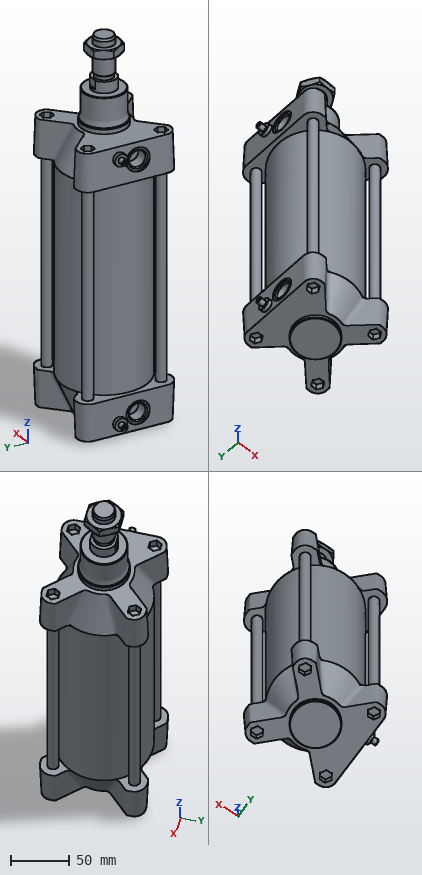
import cadquery as cq
import math

TOTAL_LENGTH = 368.0

COLLAR_DIAMETER = 45.0
REAR_COLLAR_HEIGHT = 4.0
COLLAR_CHAMFER = 0.7
COVER_HEIGHT = 36.8
COVER_SPAN = 95.0
NOTCH_ANGLES = (-90, 0, 90)
COVER_DRAFT = 2.0
TIE_ROD_SPACING = 72.0
ARM_HALF_WIDTH = 11.5
ARM_EDGE_RADIUS = 3.5
CONE_TOP_RADIUS = 26.5
CONE_FILLET = 4.8
FRONT_COVER_TOP = 282.5

BARREL_DIAMETER = 86.0
TIE_ROD_DIAMETER = 10.0
SOCKET_WIDTH = 10.3
SOCKET_DEPTH = 7.5

PORT_Y = -7.7
PORT_DEPTH_FROM_END = 17.0
PORT_DIAMETER = 16.0
PORT_MOUTH_DIAMETER = 18.5
PORT_DEPTH = 14.7
PORT_SPOT_DIAMETER = 23.0
PORT_SPOT_X = -46.0
SCREW_Y = 11.0
SCREW_DEPTH_FROM_END = 11.5
SCREW_DIAMETER = 6.0
SCREW_TIP_X = -56.5
SCREW_COLLAR_DIAMETER = 12.0
SCREW_COLLAR_X = -50.5
SCREW_ROOT_X = -42.5
SCREW_SLOT_WIDTH = 1.5
SCREW_SLOT_DEPTH = 0.7

GUIDE_DIAMETER = 41.0
GUIDE_TOP = 317.0
GUIDE_CHAMFER = 0.7
GUIDE_SLEEVE_BOTTOM = 293.5
GUIDE_CONE_TOP = 292.5
GUIDE_CONE_TOP_DIAMETER = 41.2
GUIDE_CONE_BOTTOM = 288.0
GUIDE_CONE_BOTTOM_DIAMETER = 43.5
FRONT_COLLAR_TOP = 287.0

ROD_DIAMETER = 24.5
ROD_SHOULDER = 328.0
ROD_FLAT_WIDTH = 22.5
ROD_FLAT_BOTTOM = 319.5
NECK_DIAMETER = 18.0
NECK_TOP = 331.2
THREAD_BOTTOM = 332.3
THREAD_DIAMETER = 20.0
THREAD_TIP_HEIGHT = 2.5

NUT_WIDTH = 30.0
NUT_THICKNESS = 9.0
NUT_BOTTOM = 351.0
NUT_CORNER_HEIGHT = 1.0

EDGE_TOLERANCE = 0.5

HALF_SPAN = COVER_SPAN / 2
CORNER_RADIUS = HALF_SPAN - TIE_ROD_SPACING / 2
BARREL_BOTTOM = REAR_COLLAR_HEIGHT + COVER_HEIGHT
BARREL_TOP = FRONT_COVER_TOP - COVER_HEIGHT
HEX_CORNER_RATIO = 2 / math.sqrt(3)


def lathe(profile):
    """Solid of revolution about Z from (radius, height) points, closed along the axis."""
    points = [(0, profile[0][1])] + profile + [(0, profile[-1][1])]
    return cq.Workplane("XZ").polyline(points).close().revolve(360, (0, 0), (0, 1))


def cylinder(diameter, bottom, top):
    """Cylinder on the Z axis between two heights."""
    return cq.Workplane("XY").workplane(offset=bottom).circle(diameter / 2).extrude(top - bottom)


def side_cylinder(diameter, y, z, x_start, x_end):
    """Cylinder along X between two X positions."""
    plane = cq.Plane(origin=(x_start, y, z), xDir=(0, 1, 0), normal=(1, 0, 0))
    return cq.Workplane(plane).circle(diameter / 2).extrude(x_end - x_start)


def cover_arms():
    """Drafted block with a notch in three sides; barrel face at Z = 0, outer face above."""
    apex = ARM_HALF_WIDTH * math.sqrt(2)
    arm_edge = HALF_SPAN - apex
    notch = (
        cq.Workplane("XY")
        .polyline([(apex, 0), (HALF_SPAN, arm_edge), (HALF_SPAN, -arm_edge)])
        .close()
        .extrude(COVER_HEIGHT)
    )
    block = cq.Workplane("XY").rect(COVER_SPAN, COVER_SPAN).extrude(COVER_HEIGHT)
    block = block.edges("|Z").fillet(CORNER_RADIUS)
    for angle in NOTCH_ANGLES:
        block = block.cut(notch.rotate((0, 0, 0), (0, 0, 1), angle))
    arm_edges = []
    for edge in block.edges("|Z").vals():
        middle = edge.Center()
        nearest_axis = min(abs(middle.x), abs(middle.y))
        if abs(nearest_axis - arm_edge) < EDGE_TOLERANCE:
            arm_edges.append(edge)
    block = cq.Workplane(block.val().fillet(ARM_EDGE_RADIUS, arm_edges))
    outline = block.faces("<Z").wires().vals()[0]
    return cq.Workplane("XY").add(outline).toPending().extrude(COVER_HEIGHT, taper=COVER_DRAFT)


def cover_blank():
    """Arms joined by a cone that spreads from the outer face to the barrel."""
    cone = lathe([(BARREL_DIAMETER / 2, 0), (CONE_TOP_RADIUS, COVER_HEIGHT)])
    blank = cover_arms().union(cone)
    valleys = []
    for edge in blank.edges().vals():
        middle = edge.Center()
        is_inside = math.hypot(middle.x, middle.y) < BARREL_DIAMETER / 2
        if edge.BoundingBox().zlen > COVER_HEIGHT / 2 and is_inside:
            valleys.append(edge)
    return cq.Workplane(blank.val().fillet(CONE_FILLET, valleys))


def cushion_screw(z):
    """Slotted screw that stands out of a round collar on the -X face."""
    collar = side_cylinder(SCREW_COLLAR_DIAMETER, SCREW_Y, z, SCREW_COLLAR_X, SCREW_ROOT_X)
    pin = side_cylinder(SCREW_DIAMETER, SCREW_Y, z, SCREW_TIP_X, SCREW_ROOT_X)
    slot = cq.Workplane("XY").box(2 * SCREW_SLOT_DEPTH, SCREW_DIAMETER, SCREW_SLOT_WIDTH)
    return collar.union(pin).cut(slot.translate((SCREW_TIP_X, SCREW_Y, z)))


def air_port(z):
    """Cutter for an air port with a countersunk mouth and a spot face, entering from -X."""
    hole = side_cylinder(PORT_DIAMETER, PORT_Y, z, -COVER_SPAN, -HALF_SPAN + PORT_DEPTH)
    spot = side_cylinder(PORT_SPOT_DIAMETER, PORT_Y, z, -COVER_SPAN, PORT_SPOT_X)
    mouth_depth = (PORT_MOUTH_DIAMETER - PORT_DIAMETER) / 2
    mouth = cq.Workplane(cq.Solid.makeCone(
        PORT_MOUTH_DIAMETER / 2,
        PORT_DIAMETER / 2,
        mouth_depth,
        pnt=cq.Vector(PORT_SPOT_X, PORT_Y, z),
        dir=cq.Vector(1, 0, 0),
    ))
    return hole.union(spot).union(mouth)


def cover():
    """Cover with its air port, cushion screw and tie-rod sockets; outer face up."""
    sockets = (
        cq.Workplane("XY")
        .workplane(offset=COVER_HEIGHT - SOCKET_DEPTH)
        .rect(TIE_ROD_SPACING, TIE_ROD_SPACING, forConstruction=True)
        .vertices()
        .polygon(6, SOCKET_WIDTH * HEX_CORNER_RATIO)
        .extrude(SOCKET_DEPTH)
    )
    return (
        cover_blank()
        .cut(sockets)
        .cut(air_port(COVER_HEIGHT - PORT_DEPTH_FROM_END))
        .union(cushion_screw(COVER_HEIGHT - SCREW_DEPTH_FROM_END))
    )


def tie_rods():
    """Four rods between the covers."""
    return (
        cq.Workplane("XY")
        .workplane(offset=BARREL_BOTTOM)
        .rect(TIE_ROD_SPACING, TIE_ROD_SPACING, forConstruction=True)
        .vertices()
        .circle(TIE_ROD_DIAMETER / 2)
        .extrude(BARREL_TOP - BARREL_BOTTOM)
    )


def rod_guide():
    """Collar, cone and guide sleeve on the front cover."""
    return lathe([
        (COLLAR_DIAMETER / 2, FRONT_COVER_TOP),
        (COLLAR_DIAMETER / 2, FRONT_COLLAR_TOP),
        (GUIDE_CONE_BOTTOM_DIAMETER / 2, GUIDE_CONE_BOTTOM),
        (GUIDE_CONE_TOP_DIAMETER / 2, GUIDE_CONE_TOP),
        (GUIDE_DIAMETER / 2, GUIDE_SLEEVE_BOTTOM),
        (GUIDE_DIAMETER / 2, GUIDE_TOP - GUIDE_CHAMFER),
        (GUIDE_DIAMETER / 2 - GUIDE_CHAMFER, GUIDE_TOP),
    ])


def housing_body():
    """Barrel, covers, tie rods, collars and rod guide as one solid."""
    front_cover = cover().translate((0, 0, BARREL_TOP))
    rear_cover = cover().mirror("XY").translate((0, 0, BARREL_BOTTOM))
    rear_collar = cylinder(COLLAR_DIAMETER, 0, BARREL_BOTTOM).faces("<Z").chamfer(COLLAR_CHAMFER)
    rod_bore = cylinder(ROD_DIAMETER, FRONT_COVER_TOP, GUIDE_TOP)
    return (
        cylinder(BARREL_DIAMETER, BARREL_BOTTOM, BARREL_TOP)
        .union(front_cover)
        .union(rear_cover)
        .union(tie_rods())
        .union(rear_collar)
        .union(rod_guide())
        .cut(rod_bore)
    )


def piston_rod_body():
    """Rod seated in the guide, with two wrench flats, a neck and the thread length."""
    rod = lathe([
        (ROD_DIAMETER / 2, FRONT_COVER_TOP),
        (ROD_DIAMETER / 2, ROD_SHOULDER),
        (NECK_DIAMETER / 2, ROD_SHOULDER),
        (NECK_DIAMETER / 2, NECK_TOP),
        (THREAD_DIAMETER / 2, THREAD_BOTTOM),
        (THREAD_DIAMETER / 2, TOTAL_LENGTH - THREAD_TIP_HEIGHT),
        (NECK_DIAMETER / 2, TOTAL_LENGTH),
    ])
    flat_height = ROD_SHOULDER - ROD_FLAT_BOTTOM
    for side in (-1, 1):
        cutter = cq.Workplane("XY").box(ROD_DIAMETER, ROD_DIAMETER, flat_height)
        y = side * (ROD_FLAT_WIDTH + ROD_DIAMETER) / 2
        rod = rod.cut(cutter.translate((0, y, ROD_FLAT_BOTTOM + flat_height / 2)))
    return rod


def rod_nut_body():
    """Hexagon nut on the thread, corners cut back by a cone at both ends."""
    corner_radius = NUT_WIDTH * HEX_CORNER_RATIO / 2
    face_radius = NUT_WIDTH / 2
    top = NUT_BOTTOM + NUT_THICKNESS
    envelope = lathe([
        (face_radius, NUT_BOTTOM),
        (corner_radius, NUT_BOTTOM + NUT_CORNER_HEIGHT),
        (corner_radius, top - NUT_CORNER_HEIGHT),
        (face_radius, top),
    ])
    hexagon = (
        cq.Workplane("XY")
        .workplane(offset=NUT_BOTTOM)
        .polygon(6, 2 * corner_radius)
        .extrude(NUT_THICKNESS)
    )
    return hexagon.intersect(envelope).cut(cylinder(THREAD_DIAMETER, NUT_BOTTOM, top))


housing = housing_body()
piston_rod = piston_rod_body()
rod_nut = rod_nut_body()

result = cq.Compound.makeCompound([housing.val(), piston_rod.val(), rod_nut.val()])